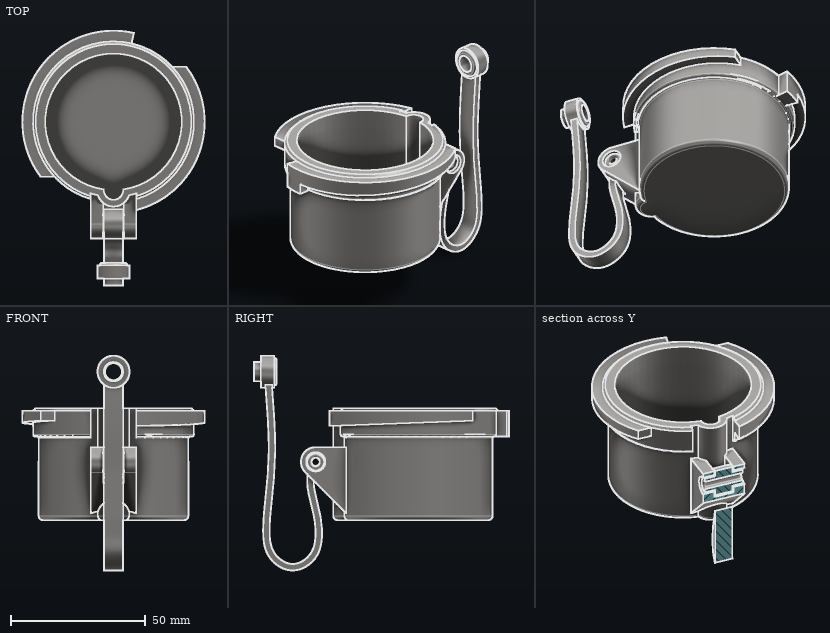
import cadquery as cq
import math

cup_height = 41.75
bore_radius = 25.4
wall = 2.5
body_radius = bore_radius + wall
bottom_fillet = 1.75

keyway_radius = 3.6
rib_radius = keyway_radius + wall

collar_radius = 29.95
collar_height = 10.6
collar_chamfer = 1.0
collar_fillet = 0.85
collar_root_fillet = 0.5

lug_radius = 33.95
lug_inner_radius = (body_radius + collar_radius) / 2
lug_top = cup_height - collar_chamfer
lug_start_angle = 77.0
lug_end_y = -20.5
lug_mid_depth = 4.45
lug_ramp_angle = 2.1

bracket_width = 17.0
bracket_gap = 7.7
hinge_radius = 5.5
hinge_y = -37.95
hinge_z = 21.75
hinge_hole_radius = 3.6
web_thickness = 2.5
knuckle_clearance = 0.5

strap_width = 7.2
strap_thickness = 2.5
peg_radius = 3.15
peg_bore_radius = 1.5
peg_span = 15.8

eyelet_radius = 6.0
eyelet_y = -53.35
eyelet_length = 4.95
eyelet_z = 55.28
eyelet_boss_radius = 5.1
eyelet_boss_length = 0.9
eyelet_boss_fillet = 0.8
eyelet_bore_radius = 3.15
spigot_radius = 3.6
spigot_length = 2.59

band_points = [
    (hinge_y, hinge_z),
    (-39.9, 15.5),
    (-37.8, 3.5),
    (-36.8, -5.6),
    (-38.5, -12.5),
    (-46.5, -17.45),
    (-54.5, -12.5),
    (-56.3, -4.5),
    (-55.4, 8.1),
    (-54.2, 25.8),
    (-54.9, 42.9),
    (-55.8, eyelet_z),
]


def cylinder_z(radius, bottom, top, y=0.0):
    return cq.Workplane("XY", origin=(0, y, bottom)).circle(radius).extrude(top - bottom)


def hinge_cylinder(radius, width):
    """Cylinder on the hinge axis, centred on X = 0."""
    return cq.Workplane("YZ").center(hinge_y, hinge_z).circle(radius).extrude(width / 2, both=True)


def eyelet_cylinder(radius, start_y, length):
    """Cylinder on the eyelet axis, running from start_y towards -Y."""
    return cq.Workplane("XZ", origin=(0, start_y, eyelet_z)).circle(radius).extrude(length)


def on_circle(radius, angle):
    return (radius * math.cos(math.radians(angle)), radius * math.sin(math.radians(angle)))


def make_lug():
    """Lug with a ramped underside and a full-depth stop at its start."""
    outer_end = (-math.sqrt(lug_radius**2 - lug_end_y**2), lug_end_y)
    inner_end = (-math.sqrt(lug_inner_radius**2 - lug_end_y**2), lug_end_y)
    sector = (
        cq.Workplane("XY", origin=(0, 0, lug_top))
        .moveTo(*on_circle(lug_inner_radius, lug_start_angle))
        .lineTo(*on_circle(lug_radius, lug_start_angle))
        .threePointArc((-lug_radius, 0), outer_end)
        .lineTo(*inner_end)
        .threePointArc((-lug_inner_radius, 0), on_circle(lug_inner_radius, lug_start_angle))
        .close()
        .extrude(cup_height - collar_height - lug_top)
    )
    ramp_rise = lug_radius * math.tan(math.radians(lug_ramp_angle))
    ramp = (
        cq.Workplane("YZ")
        .moveTo(-lug_radius, lug_top)
        .lineTo(-lug_radius, lug_top - lug_mid_depth + ramp_rise)
        .lineTo(lug_radius, lug_top - lug_mid_depth - ramp_rise)
        .lineTo(lug_radius, lug_top)
        .close()
        .extrude(lug_radius, both=True)
    )
    stop = cq.Workplane("XY").box(lug_radius, lug_radius, cup_height, centered=False)
    return sector.intersect(ramp.union(stop))


def make_collar():
    """Collar with its lugs, interrupted by a notch as wide as the bracket."""
    collar_bottom = cup_height - collar_height
    collar = (
        cylinder_z(collar_radius, collar_bottom, cup_height)
        .faces(">Z").edges().chamfer(collar_chamfer)
        .faces("<Z").edges().fillet(collar_fillet)
    )
    root_edge = body_radius + collar_root_fillet
    root = (
        cq.Workplane("XZ")
        .moveTo(0, collar_bottom - collar_root_fillet)
        .lineTo(body_radius, collar_bottom - collar_root_fillet)
        .radiusArc((root_edge, collar_bottom), collar_root_fillet)
        .lineTo(0, collar_bottom)
        .close()
        .revolve(360, (0, 0, 0), (0, 1, 0))
    )
    lug = make_lug()
    opposite_lug = lug.rotate((0, 0, 0), (0, 0, 1), 180)
    notch = cq.Workplane("XY").box(bracket_width, lug_radius, cup_height, centered=(True, False, False))
    notch = notch.translate((0, -lug_radius, 0))
    return collar.union(root).union(lug).union(opposite_lug).cut(notch)


def make_bracket():
    """Two hinge arms joined along their sloping lower edge by a thin web."""
    slope_offset = hinge_radius * math.sqrt(0.5)
    slope_y = hinge_y - slope_offset
    slope_z = hinge_z - slope_offset
    root_y = -(bore_radius + body_radius) / 2
    root_z = slope_z - (root_y - slope_y)
    hinge_front = (hinge_y - hinge_radius, hinge_z)
    plate = (
        cq.Workplane("YZ")
        .moveTo(root_y, root_z)
        .lineTo(root_y, hinge_z + hinge_radius)
        .lineTo(hinge_y, hinge_z + hinge_radius)
        .threePointArc(hinge_front, (slope_y, slope_z))
        .close()
        .extrude(bracket_width / 2, both=True)
    )
    web_rise = web_thickness * math.sqrt(2)
    gap = (
        cq.Workplane("YZ")
        .moveTo(root_y, root_z + web_rise)
        .lineTo(root_y, cup_height)
        .lineTo(slope_y - hinge_radius, cup_height)
        .lineTo(slope_y - hinge_radius, slope_z + hinge_radius + web_rise)
        .close()
        .extrude(bracket_gap / 2, both=True)
    )
    knuckle_room = hinge_cylinder(hinge_radius + knuckle_clearance, bracket_gap)
    strap_room = (
        cq.Workplane("XY")
        .box(bracket_gap, lug_radius, hinge_z, centered=(True, False, False))
        .translate((0, hinge_y - lug_radius, 0))
    )
    holes = hinge_cylinder(hinge_hole_radius, bracket_width)
    return plate.cut(gap).cut(knuckle_room).cut(strap_room).cut(holes)


def make_cup():
    shell = (
        cylinder_z(body_radius, 0, cup_height)
        .union(cylinder_z(rib_radius, 0, cup_height, -bore_radius))
        .faces("<Z").edges().fillet(bottom_fillet)
    )
    cavity = cylinder_z(bore_radius, wall, cup_height)
    keyway = cylinder_z(keyway_radius, wall, cup_height, -bore_radius)
    return shell.union(make_collar()).union(make_bracket()).cut(cavity).cut(keyway)


def make_band():
    path = cq.Workplane("YZ").spline(band_points)
    start = path.val()
    plane = cq.Plane(origin=start.startPoint(), xDir=(1, 0, 0), normal=start.tangentAt(0))
    return cq.Workplane(plane).rect(strap_width, strap_thickness).sweep(path)


def make_knuckle():
    """Hinge barrel with a hollow peg on each side, each peg ending in a fully rounded rim."""
    rim_radius = (peg_radius - peg_bore_radius) / 2
    rim_mid_radius = (peg_radius + peg_bore_radius) / 2
    rim_x = peg_span / 2 - rim_radius
    knuckle = (
        hinge_cylinder(hinge_radius, strap_width)
        .union(hinge_cylinder(peg_radius, 2 * rim_x))
        .cut(hinge_cylinder(peg_bore_radius, peg_span))
    )
    for x in (-rim_x, rim_x):
        rim = cq.Solid.makeTorus(rim_mid_radius, rim_radius, cq.Vector(x, hinge_y, hinge_z), cq.Vector(1, 0, 0))
        knuckle = knuckle.union(cq.Workplane(rim))
    return knuckle


def make_eyelet():
    boss = eyelet_cylinder(eyelet_boss_radius, eyelet_y + eyelet_boss_length, eyelet_boss_length)
    boss = boss.faces(">Y").edges().fillet(eyelet_boss_fillet)
    spigot = eyelet_cylinder(spigot_radius, eyelet_y - eyelet_length, spigot_length)
    return eyelet_cylinder(eyelet_radius, eyelet_y, eyelet_length).union(boss).union(spigot)


def make_strap():
    strap = make_band().union(make_knuckle()).union(make_eyelet())
    bore_start = eyelet_y + eyelet_boss_length
    bore_length = eyelet_boss_length + eyelet_length + spigot_length
    eyelet_bore = eyelet_cylinder(eyelet_bore_radius, bore_start, bore_length)
    return strap.cut(hinge_cylinder(peg_bore_radius, peg_span)).cut(eyelet_bore)


cup = make_cup()
strap = make_strap()

result = cq.Compound.makeCompound([cup.solids().val(), strap.solids().val()])